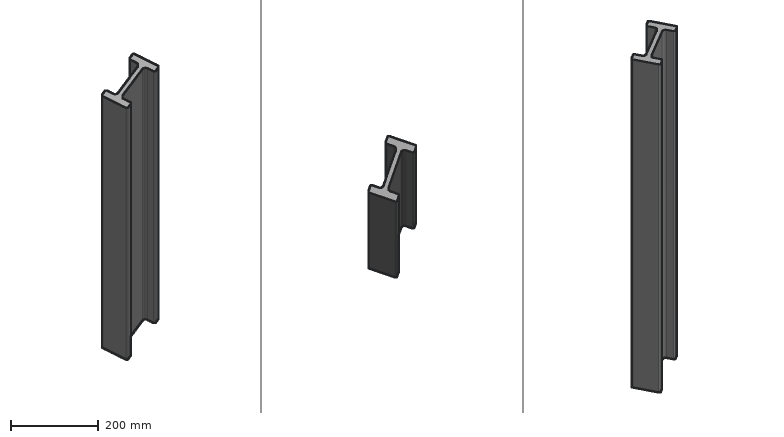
import cadquery as cq

length = 1000.0
flange_width = 70.0
depth = 140.0

flange_thickness = 19.0
web_thickness = 13.0
root_radius = 8.0
edge_radius = 4.0

web_height = depth - 2 * flange_thickness
flange_offset = (depth - flange_thickness) / 2


def flange(y_center):
    """Flange plate with all four long edges rounded."""
    plate = cq.Workplane("XY").center(0, y_center).rect(flange_width, flange_thickness).extrude(length)
    return plate.edges("|Z").fillet(edge_radius)


def in_root(edge):
    """True for the long edges where the web meets a flange."""
    center = edge.Center()
    return abs(abs(center.x) - web_thickness / 2) < 0.1 and abs(abs(center.y) - web_height / 2) < 0.01


web = cq.Workplane("XY").rect(web_thickness, depth - flange_thickness).extrude(length)
beam = web.union(flange(flange_offset)).union(flange(-flange_offset))

root_edges = [edge for edge in beam.edges("|Z").vals() if in_root(edge)]
result = beam.newObject(root_edges).fillet(root_radius)